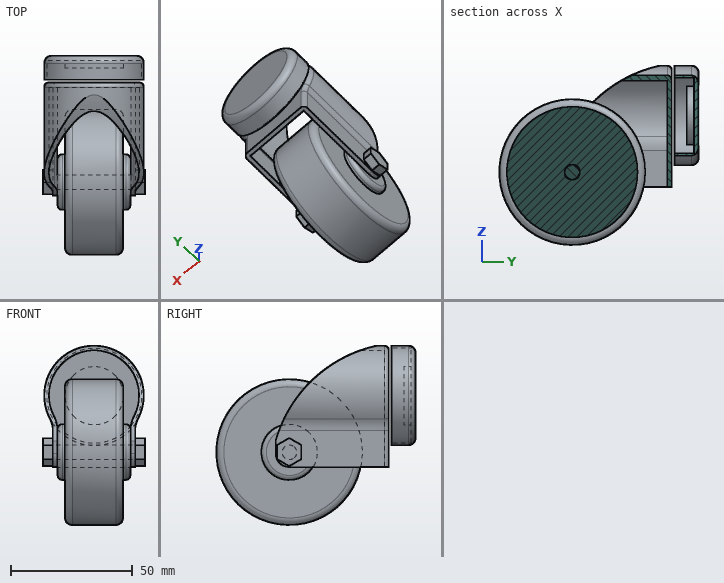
import cadquery as cq
import math


wheel_radius = 30.0
wheel_width = 23.95
wheel_fillet = 3.0

spacer_radius = 11.5
spacer_thickness = 3.0
spacer_fillet = 2.0

shank_diameter = 6.0
hex_across_flats = 10.0
hex_across_corners = hex_across_flats / math.cos(math.pi / 6)
head_thickness = 4.0

swivel_z = 23.3
fork_radius = 20.5
fork_wall = 2.0
fork_back_y = 41.0
back_wall = 2.0
fork_back_fillet = 2.0
neck_blend_radius = 10.0
fork_bottom_z = -6.15
arm_tip_y = -5.6
inner_half_width = wheel_width / 2 + spacer_thickness
outer_half_width = inner_half_width + fork_wall

trim_top = (36.0, swivel_z + fork_radius)
trim_middle = (8.45, 28.6)
trim_end = (arm_tip_y, 4.6)

cap_gap = 1.0
cap_thickness = 10.0
cap_fillet = 3.0
cap_rim = 1.0
cap_recess_depth = 8.0
cap_post_radius = 12.0
cap_post_setback = 5.0


def make_cap():
    """Round cap with a rounded rear edge and a round recess holding a central post."""
    front_y = fork_back_y + cap_gap
    front_plane = cq.Workplane("XZ", origin=(0, front_y, swivel_z))
    body = (
        front_plane
        .circle(fork_radius)
        .extrude(-cap_thickness)
        .faces(">Y").edges().fillet(cap_fillet)
    )
    recess = (
        front_plane
        .circle(fork_radius - cap_rim)
        .extrude(-cap_recess_depth)
    )
    post = (
        front_plane
        .workplane(offset=-cap_post_setback)
        .circle(cap_post_radius)
        .extrude(cap_post_setback - cap_recess_depth)
    )
    return body.cut(recess).union(post)


def keyhole_prism(radius, half_width, blend_radius, back_y):
    """Round head blended into parallel sides, extruded from back_y to the arm tips."""
    blend_x = half_width + blend_radius
    center_distance = radius + blend_radius
    blend_z = swivel_z - math.sqrt(center_distance**2 - blend_x**2)
    tangent_x = blend_x * radius / center_distance
    tangent_z = swivel_z + (blend_z - swivel_z) * radius / center_distance
    half_angle = math.atan2(swivel_z - blend_z, blend_x) / 2
    middle_x = blend_x - blend_radius * math.cos(half_angle)
    middle_z = blend_z + blend_radius * math.sin(half_angle)
    return (
        cq.Workplane("XZ", origin=(0, back_y, 0))
        .moveTo(-half_width, fork_bottom_z)
        .lineTo(-half_width, blend_z)
        .threePointArc((-middle_x, middle_z), (-tangent_x, tangent_z))
        .threePointArc((0, swivel_z + radius), (tangent_x, tangent_z))
        .threePointArc((middle_x, middle_z), (half_width, blend_z))
        .lineTo(half_width, fork_bottom_z)
        .close()
        .extrude(back_y - arm_tip_y)
    )


def make_side_profile():
    """Slab with the fork's side outline: curved front edge and rounded arm tip."""
    top_z = swivel_z + fork_radius
    tip_radius = -arm_tip_y
    tip_center_z = fork_bottom_z + tip_radius
    tip_middle = (
        -tip_radius * math.sin(math.pi / 4),
        tip_center_z - tip_radius * math.cos(math.pi / 4),
    )
    return (
        cq.Workplane("YZ")
        .moveTo(fork_back_y, fork_bottom_z)
        .lineTo(fork_back_y, top_z)
        .lineTo(*trim_top)
        .threePointArc(trim_middle, trim_end)
        .lineTo(arm_tip_y, tip_center_z)
        .threePointArc(tip_middle, (0, fork_bottom_z))
        .close()
        .extrude(fork_radius, both=True)
    )


def make_fork():
    """Keyhole-shaped shell with a rear wall and two arms drilled for the axle."""
    shell = keyhole_prism(fork_radius, outer_half_width, neck_blend_radius, fork_back_y)
    rear_outline = shell.faces(">Y").edges("not <Z")
    shell = rear_outline.fillet(fork_back_fillet)
    cavity = keyhole_prism(
        fork_radius - fork_wall,
        inner_half_width,
        neck_blend_radius + fork_wall,
        fork_back_y - back_wall,
    )
    axle_hole = (
        cq.Workplane("YZ")
        .circle(shank_diameter / 2)
        .extrude(outer_half_width, both=True)
    )
    return shell.cut(cavity).intersect(make_side_profile()).cut(axle_hole)


def make_wheel():
    """Solid wheel with rounded rims and a bore for the axle."""
    return (
        cq.Workplane("YZ", origin=(-wheel_width / 2, 0, 0))
        .circle(wheel_radius)
        .extrude(wheel_width)
        .edges().fillet(wheel_fillet)
        .faces(">X").workplane().hole(shank_diameter)
    )


def make_spacer(side):
    """Bored disc between wheel and arm, rounded on its outer rim; side is -1 or +1."""
    outer_face = ">X" if side > 0 else "<X"
    return (
        cq.Workplane("YZ", origin=(side * wheel_width / 2, 0, 0))
        .circle(spacer_radius)
        .extrude(side * spacer_thickness)
        .faces(outer_face).edges().fillet(spacer_fillet)
        .faces(outer_face).workplane().hole(shank_diameter)
    )


def make_axle():
    """Round shank with a hexagonal head against the outside of each arm."""
    axle = (
        cq.Workplane("YZ")
        .circle(shank_diameter / 2)
        .extrude(outer_half_width, both=True)
    )
    for side in (-1, 1):
        head = (
            cq.Workplane("YZ", origin=(side * outer_half_width, 0, 0))
            .transformed(rotate=(0, 0, 90))
            .polygon(6, hex_across_corners)
            .extrude(side * head_thickness)
        )
        axle = axle.union(head)
    return axle


cap = make_cap()
fork = make_fork()
wheel = make_wheel()
spacers = [make_spacer(side) for side in (-1, 1)]
axle = make_axle()

result = cq.Compound.makeCompound([
    cap.val(),
    *fork.vals(),
    wheel.val(),
    *[spacer.val() for spacer in spacers],
    axle.val(),
])